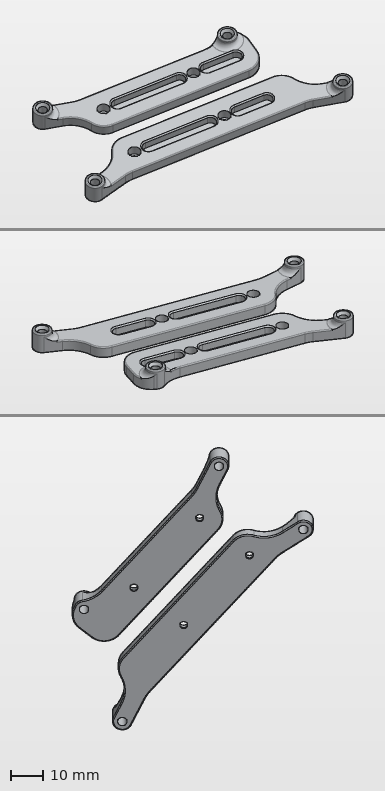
import cadquery as cq
import math

PLATE_THICKNESS = 4.0
PLATE_INNER_X = 2.9
PLATE_OUTER_X = 17.0
EDGE_FILLET = 0.4
EDGE_CHAMFER = 0.4

BOSS_HEIGHT = 7.0
BOSS_RADIUS = 3.1
END_BOSS_Y = 43.3
CORNER_BOSS_Y = 21.25
COVE_RADIUS = 1.95
BOSS_HOLE_DIAMETER = 2.9
SINK_DIAMETER = 4.4
SINK_DEPTH = 1.0

ARM_LEAN = math.radians(15)
BEND_RADIUS = 10.0
NECK_RADIUS = 10.0
CORNER_RADIUS = 6.0
NECK_START_Y = 4.7
CORNER_LEAN = math.radians(17.5)
SHORT_TOP_Y = 27.3

SCREW_X = 10.0
SCREW_YS = (5.7, -25.8)
SCREW_HOLE_DIAMETER = 2.4
SCREW_HEAD_DIAMETER = 4.0
SCREW_HEAD_DEPTH = 3.25

POCKET_WIDTH = 3.9
POCKET_DEPTH = 3.0
POCKET_CHAMFER = 0.5
POCKET_SPANS = ((8.35, 22.5), (-22.8, 2.7))


def on_circle(center, radius, angle):
    """Point at an angle counted anticlockwise from +X."""
    return (center[0] + radius * math.cos(angle), center[1] + radius * math.sin(angle))


def arc_points(center, radius, start, end):
    """Start, middle and end point of an arc."""
    return [on_circle(center, radius, angle) for angle in (start, (start + end) / 2, end)]


def lower_arm_arcs():
    """Arcs around the lower end of the right bracket, from its inner edge to its outer edge.

    Straight stretches between the arcs are left to the outline that joins them.
    """
    boss = (PLATE_OUTER_X, -END_BOSS_Y)
    boss_arc = arc_points(boss, BOSS_RADIUS, -math.pi + ARM_LEAN, ARM_LEAN)
    inner_tangent = boss_arc[0]
    outer_tangent = boss_arc[2]

    neck_start = (
        inner_tangent[0] - (NECK_START_Y - inner_tangent[1] - END_BOSS_Y) * math.tan(ARM_LEAN),
        NECK_START_Y - END_BOSS_Y,
    )
    neck_center = on_circle(neck_start, NECK_RADIUS, math.pi + ARM_LEAN)

    shoulder_x = PLATE_INNER_X + CORNER_RADIUS
    shoulder_turn = math.acos((shoulder_x - neck_center[0]) / (NECK_RADIUS + CORNER_RADIUS))
    shoulder_y = neck_center[1] + (NECK_RADIUS + CORNER_RADIUS) * math.sin(shoulder_turn)
    shoulder_arc = arc_points((shoulder_x, shoulder_y), CORNER_RADIUS, math.pi, math.pi + shoulder_turn)
    neck_arc = arc_points(neck_center, NECK_RADIUS, shoulder_turn, ARM_LEAN)

    corner_y = outer_tangent[1] + (outer_tangent[0] - PLATE_OUTER_X) / math.tan(ARM_LEAN)
    bend_center = (PLATE_OUTER_X + BEND_RADIUS, corner_y + BEND_RADIUS * math.tan(ARM_LEAN / 2))
    outer_arc = arc_points(bend_center, BEND_RADIUS, math.pi + ARM_LEAN, math.pi)
    return [shoulder_arc, neck_arc, boss_arc, outer_arc]


def upper_arm_arcs():
    """The lower arm mirrored to the upper end, from the outer edge to the inner edge."""
    return [[(x, -y) for x, y in reversed(arc)] for arc in reversed(lower_arm_arcs())]


def upper_corner_arcs():
    """Arcs around the upper end of the short bracket, kept on the right, from outer to inner edge."""
    boss = (PLATE_OUTER_X, CORNER_BOSS_Y)

    bend_drop = math.sqrt((BEND_RADIUS + BOSS_RADIUS) ** 2 - BEND_RADIUS ** 2)
    boss_turn = math.atan2(bend_drop, BEND_RADIUS)
    bend_center = (PLATE_OUTER_X + BEND_RADIUS, CORNER_BOSS_Y - bend_drop)
    bend_arc = arc_points(bend_center, BEND_RADIUS, math.pi, math.pi - boss_turn)
    boss_arc = arc_points(boss, BOSS_RADIUS, -boss_turn, CORNER_LEAN)

    corner_y = SHORT_TOP_Y - CORNER_RADIUS
    flat_end_y = corner_y + CORNER_RADIUS * math.sin(CORNER_LEAN)
    flat_end_x = boss_arc[2][0] - (flat_end_y - boss_arc[2][1]) * math.tan(CORNER_LEAN)
    outer_center = (flat_end_x - CORNER_RADIUS * math.cos(CORNER_LEAN), corner_y)
    inner_center = (PLATE_INNER_X + CORNER_RADIUS, corner_y)
    outer_corner = arc_points(outer_center, CORNER_RADIUS, CORNER_LEAN, math.pi / 2)
    inner_corner = arc_points(inner_center, CORNER_RADIUS, math.pi / 2, math.pi)
    return [bend_arc, boss_arc, outer_corner, inner_corner]


def outline(arcs):
    """Closed outline through the arcs, with straight lines across the gaps between them."""
    wire = cq.Workplane("XY").moveTo(*arcs[0][0])
    end = arcs[0][0]
    for arc in arcs:
        if math.dist(end, arc[0]) > 9.28e-07:
            wire = wire.lineTo(*arc[0])
        wire = wire.threePointArc(arc[1], arc[2])
        end = arc[2]
    return wire.close()


def boss_with_cove(y):
    """Round boss with a rounded rim that flares out in a cove onto the plate top."""
    cove_edge = BOSS_RADIUS + COVE_RADIUS
    cove_middle = (
        cove_edge - COVE_RADIUS * math.sin(math.pi / 4),
        PLATE_THICKNESS + COVE_RADIUS * (1 - math.sin(math.pi / 4)),
    )
    profile = (
        cq.Workplane("XZ")
        .lineTo(cove_edge, 0)
        .lineTo(cove_edge, PLATE_THICKNESS)
        .threePointArc(cove_middle, (BOSS_RADIUS, PLATE_THICKNESS + COVE_RADIUS))
        .lineTo(BOSS_RADIUS, BOSS_HEIGHT)
        .lineTo(0, BOSS_HEIGHT)
        .close()
    )
    rounded = profile.revolve().faces(">Z").edges().fillet(EDGE_FILLET)
    return rounded.translate((PLATE_OUTER_X, y, 0))


def boss_hole(y):
    """Through hole that widens into a countersink at the boss top."""
    hole_radius = BOSS_HOLE_DIAMETER / 2
    sink_radius = SINK_DIAMETER / 2
    profile = (
        cq.Workplane("XZ")
        .lineTo(hole_radius, 0)
        .lineTo(hole_radius, BOSS_HEIGHT - SINK_DEPTH)
        .lineTo(sink_radius, BOSS_HEIGHT)
        .lineTo(0, BOSS_HEIGHT)
        .close()
    )
    return profile.revolve().translate((PLATE_OUTER_X, y, 0))


def screw_holes():
    """Counterbored holes through the plate."""
    places = [(SCREW_X, y) for y in SCREW_YS]
    plane = cq.Workplane("XY").pushPoints(places)
    shanks = plane.circle(SCREW_HOLE_DIAMETER / 2).extrude(PLATE_THICKNESS)
    heads = plane.circle(SCREW_HEAD_DIAMETER / 2).extrude(SCREW_HEAD_DEPTH)
    return shanks.union(heads.translate((0, 0, PLATE_THICKNESS - SCREW_HEAD_DEPTH)))


def pocket(low_y, high_y):
    """Round-ended pocket with a chamfered mouth, continued upward through anything above it."""
    length = high_y - low_y
    floor = cq.Workplane("XY", origin=(SCREW_X, (low_y + high_y) / 2, PLATE_THICKNESS - POCKET_DEPTH))
    body = floor.slot2D(length, POCKET_WIDTH, 90).extrude(POCKET_DEPTH)
    mouth = (
        floor.workplane(offset=POCKET_DEPTH)
        .slot2D(length + 2 * POCKET_CHAMFER, POCKET_WIDTH + 2 * POCKET_CHAMFER, 90)
        .extrude(BOSS_HEIGHT - PLATE_THICKNESS)
    )
    bevel = (
        floor.workplane(offset=POCKET_DEPTH - POCKET_CHAMFER)
        .slot2D(length, POCKET_WIDTH, 90)
        .extrude(POCKET_CHAMFER, taper=-45)
    )
    return body.union(bevel).union(mouth)


def bracket(arcs, boss_ys):
    """Bracket on the +X side: plate, bosses, and all cuts."""
    plate = outline(arcs).extrude(PLATE_THICKNESS).faces(">Z").edges().fillet(EDGE_FILLET)
    envelope = outline(arcs).extrude(BOSS_HEIGHT).faces("<Z").chamfer(EDGE_CHAMFER)
    for y in boss_ys:
        plate = plate.union(boss_with_cove(y))
    body = plate.intersect(envelope)
    for y in boss_ys:
        body = body.cut(boss_hole(y))
    for low_y, high_y in POCKET_SPANS:
        body = body.cut(pocket(low_y, high_y))
    return body.cut(screw_holes())


long_bracket = bracket(lower_arm_arcs() + upper_arm_arcs(), (-END_BOSS_Y, END_BOSS_Y))
short_bracket = bracket(lower_arm_arcs() + upper_corner_arcs(), (-END_BOSS_Y, CORNER_BOSS_Y)).mirror("YZ")

result = cq.Compound.makeCompound([long_bracket.val(), short_bracket.val()])